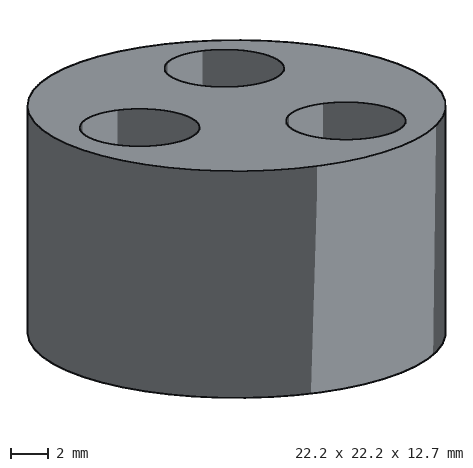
import cadquery as cq

body_diameter = 22.23
body_height = 12.7
hole_diameter = 6.35
hole_count = 3
hole_circle_radius = 6.35

body = cq.Workplane("XY").circle(body_diameter / 2).extrude(body_height)

result = (
    body.faces(">Z")
    .workplane()
    .polarArray(hole_circle_radius, 0, 360, hole_count)
    .hole(hole_diameter)
)